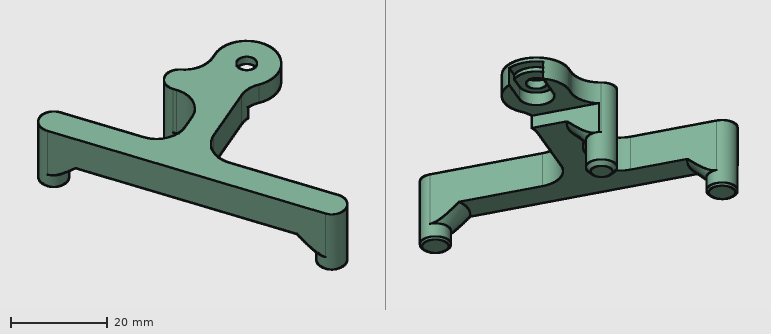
import cadquery as cq
import math

length = 70.1
bar_width = 6.5
leg_radius = bar_width / 2
fillet_radius = bar_width
body_thickness = 8.0
end_leg_height = 15.6
end_leg_chamfer = 0.5
side_leg_height = 19.6
side_leg_chamfer = 1.0
flare_bottom = 12.0

stem_x = 32.1
stem_left = stem_x - bar_width / 2
stem_right = stem_x + bar_width / 2
side_x = 21.5
side_y = 26.3
side_front = side_y - leg_radius
side_back = side_y + leg_radius

depth = 44.0
lug_radius = 7.2
lug_thickness = 5.05
lug_y = depth - lug_radius
lug_left = stem_x - lug_radius
hole_diameter = 4.3

slot_width = 7.5
slot_roof = 1.0
seat_radius = 4.9
seat_thickness = 2.0

end_legs = [(leg_radius, leg_radius), (length - leg_radius, leg_radius)]
side_leg = (side_x, side_y)


def point_toward(start, end, distance):
    """Point at a given distance from start on the line to end."""
    span = math.dist(start, end)
    return tuple(a + (b - a) * distance / span for a, b in zip(start, end))


def cylinder(center, radius, height):
    """Cylinder hanging down from the top face."""
    return cq.Workplane("XY").center(*center).circle(radius).extrude(-height)


def plan_body(thickness):
    """Full outline in plan, extruded down from the top face."""
    lug_center = (stem_x, lug_y)
    center_gap = lug_radius + fillet_radius
    neck_x = stem_right + fillet_radius
    neck_y = lug_y - math.sqrt(center_gap**2 - (neck_x - stem_x)**2)
    neck_center = (neck_x, neck_y)
    neck_end = point_toward(lug_center, neck_center, lug_radius)
    neck_mid = point_toward(neck_center, (stem_right, neck_end[1]), fillet_radius)

    hollow_x = lug_left - fillet_radius
    hollow_gap = leg_radius + fillet_radius
    hollow_y = side_y + math.sqrt(hollow_gap**2 - (hollow_x - side_x)**2)
    hollow_center = (hollow_x, hollow_y)
    hollow_end = point_toward(side_leg, hollow_center, leg_radius)
    hollow_mid = point_toward(hollow_center, (lug_left, hollow_end[1]), fillet_radius)

    diagonal = fillet_radius * (1 - math.sqrt(0.5))
    outline = (
        cq.Workplane("XY")
        .moveTo(leg_radius, 0)
        .lineTo(length - leg_radius, 0)
        .threePointArc((length, leg_radius), (length - leg_radius, bar_width))
        .lineTo(stem_right + fillet_radius, bar_width)
        .threePointArc(
            (stem_right + diagonal, bar_width + diagonal),
            (stem_right, bar_width + fillet_radius),
        )
        .lineTo(stem_right, neck_y)
        .threePointArc(neck_mid, neck_end)
        .threePointArc((stem_x, depth), (lug_left, lug_y))
        .lineTo(lug_left, hollow_y)
        .threePointArc(hollow_mid, hollow_end)
        .threePointArc((side_x - leg_radius, side_y), (side_x, side_front))
        .lineTo(stem_left - fillet_radius, side_front)
        .threePointArc(
            (stem_left - diagonal, side_front - diagonal),
            (stem_left, side_front - fillet_radius),
        )
        .lineTo(stem_left, bar_width + fillet_radius)
        .threePointArc(
            (stem_left - diagonal, bar_width + diagonal),
            (stem_left - fillet_radius, bar_width),
        )
        .lineTo(leg_radius, bar_width)
        .threePointArc((0, leg_radius), (leg_radius, 0))
        .close()
    )
    return outline.extrude(-thickness)


def front_region(thickness):
    """Block covering everything in front of the lug."""
    return cq.Workplane("XY").box(length, side_back, thickness, centered=False).translate((0, 0, -thickness))


def leg(center, height, chamfer):
    return cylinder(center, leg_radius, height).faces("<Z").chamfer(chamfer)


def flare(center):
    """45 degree cone widening from a leg up to the underside of the body."""
    rise = flare_bottom - body_thickness
    cone = cq.Solid.makeCone(leg_radius, leg_radius + rise, rise)
    return cq.Workplane(cone.translate(cq.Vector(*center, -flare_bottom)))


def lug_slot():
    """Slot from the hole out through the back, below its stepped roof."""
    channel = (
        cq.Workplane("XY")
        .center(stem_x, lug_y)
        .rect(slot_width, 2 * lug_radius)
        .extrude(-lug_thickness)
        .translate((0, lug_radius, 0))
    )
    round_end = cylinder((stem_x, lug_y), slot_width / 2, lug_thickness)
    seat = cylinder((stem_x, lug_y), seat_radius, seat_thickness)
    roof = cylinder((stem_x, lug_y), 2 * lug_radius, slot_roof)
    return channel.union(round_end).cut(seat).cut(roof)


front_body = plan_body(body_thickness).intersect(front_region(body_thickness))
result = plan_body(lug_thickness).union(front_body)

for leg_center in end_legs:
    result = result.union(leg(leg_center, end_leg_height, end_leg_chamfer))
result = result.union(leg(side_leg, side_leg_height, side_leg_chamfer))
flare_limit = plan_body(flare_bottom).intersect(front_region(flare_bottom))
for leg_center in end_legs + [side_leg]:
    result = result.union(flare(leg_center).intersect(flare_limit))

result = result.cut(lug_slot())
result = result.cut(cylinder((stem_x, lug_y), hole_diameter / 2, lug_thickness))